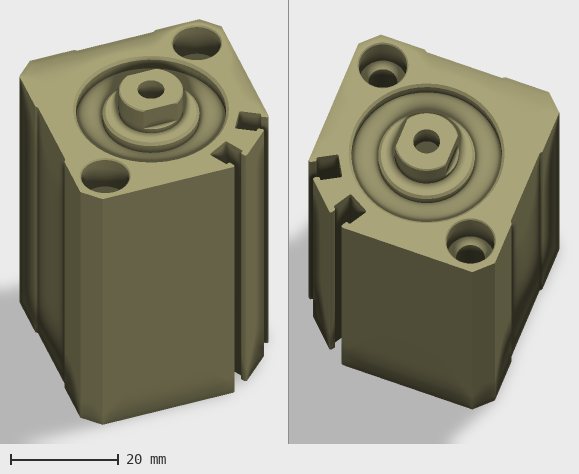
import cadquery as cq
import math

total_height = 62.5
width = 40.0
half_width = width / 2
rod_projection = 5.0
housing_height = total_height - rod_projection

corner_chamfer = 3.25
sensor_corner_chamfer = 9.6
side_recess_depth = 0.4
side_recess_floor_width = 15.0
side_recess_mouth_width = 16.0

slot_angles = (30.0, 60.0)
slot_floor_radius = 16.25
slot_lip_radius = 20.45
slot_width = 4.75
slot_mouth_width = 3.25
slot_mouth_end = 25.0
slot_round = 0.3
lip_end_round = 0.4
lip_end_min_radius = 21.25

recess_radius = 14.0
recess_chamfer = 0.5
recess_depth = 2.7
boss_radius = 9.0
boss_chamfer = 0.5
boss_drop = 0.5
recess_floor = housing_height - recess_depth
boss_top = housing_height - boss_drop

hole_offset = 14.1
hole_radius = 2.7
counterbore_radius = 4.5
counterbore_depth = 7.0
counterbore_chamfer = 0.25

rod_radius = 6.0
rod_chamfer = 0.25
flat_spacing = 10.0
flat_length = 4.5
rod_hole_radius = 2.5
rod_hole_depth = rod_projection


def make_side_recess(angle):
    """Shallow full-height channel in the -Y side, turned about Z by the angle."""
    return (
        cq.Workplane("XY")
        .polyline([
            (-side_recess_mouth_width / 2, -half_width),
            (-side_recess_floor_width / 2, -half_width + side_recess_depth),
            (side_recess_floor_width / 2, -half_width + side_recess_depth),
            (side_recess_mouth_width / 2, -half_width),
        ])
        .close()
        .extrude(housing_height)
        .rotate((0, 0, 0), (0, 0, 1), angle)
    )


def make_sensor_slot(angle):
    """Full-height T-shaped slot whose axis points away from Z at the angle."""
    slot = (
        cq.Workplane("XY")
        .polyline([
            (slot_floor_radius, -slot_width / 2),
            (slot_lip_radius, -slot_width / 2),
            (slot_lip_radius, -slot_mouth_width / 2),
            (slot_mouth_end, -slot_mouth_width / 2),
            (slot_mouth_end, slot_mouth_width / 2),
            (slot_lip_radius, slot_mouth_width / 2),
            (slot_lip_radius, slot_width / 2),
            (slot_floor_radius, slot_width / 2),
        ])
        .close()
        .extrude(housing_height)
        .edges("|Z and (not >X)")
        .fillet(slot_round)
    )
    return slot.rotate((0, 0, 0), (0, 0, 1), angle)


def make_face_recess():
    """Annular recess with a chamfered rim, leaving the chamfered boss inside it."""
    pocket = (
        cq.Workplane("XY", origin=(0, 0, recess_floor))
        .circle(recess_radius)
        .extrude(recess_depth)
    )
    rim = (
        cq.Workplane("XY", origin=(0, 0, housing_height))
        .circle(recess_radius + recess_chamfer)
        .extrude(-recess_chamfer, taper=45)
    )
    boss = (
        cq.Workplane("XY", origin=(0, 0, recess_floor))
        .circle(boss_radius)
        .extrude(boss_top - recess_floor)
        .faces(">Z")
        .chamfer(boss_chamfer)
    )
    return pocket.union(rim).cut(boss)


def make_mounting_hole(x, y):
    """Through hole with a counterbore chamfered at its mouth."""
    hole = cq.Workplane("XY").circle(hole_radius).extrude(housing_height)
    counterbore = (
        cq.Workplane("XY", origin=(0, 0, housing_height))
        .circle(counterbore_radius)
        .extrude(-counterbore_depth)
    )
    mouth = (
        cq.Workplane("XY", origin=(0, 0, housing_height))
        .circle(counterbore_radius + counterbore_chamfer)
        .extrude(-counterbore_chamfer, taper=45)
    )
    return hole.union(counterbore).union(mouth).translate((x, y, 0))


def is_lip_end(edge):
    """True for an edge in the sensor corner where a slot mouth meets the outer faces."""
    center = edge.Center()
    in_sensor_corner = center.x > 0 and center.y > 0
    return in_sensor_corner and math.hypot(center.x, center.y) > lip_end_min_radius


def make_outer_block():
    """Block with a large chamfer at the sensor corner and equal ones at the other three."""
    block = cq.Workplane("XY").rect(width, width).extrude(housing_height)
    block = block.edges("|Z and (<X or <Y)").chamfer(corner_chamfer)
    sensor_corner = cq.NearestToPointSelector((half_width, half_width, housing_height / 2))
    return block.edges("|Z").edges(sensor_corner).chamfer(sensor_corner_chamfer)


def make_housing():
    body = make_outer_block()
    for angle in (0, -90):
        body = body.cut(make_side_recess(angle))
    for angle in slot_angles:
        body = body.cut(make_sensor_slot(angle))
    body = body.edges("|Z").filter(is_lip_end).fillet(lip_end_round)
    body = body.cut(make_face_recess())
    for side in (-1, 1):
        body = body.cut(make_mounting_hole(side * hole_offset, -side * hole_offset))
    rod_seat = (
        cq.Workplane("XY", origin=(0, 0, recess_floor))
        .circle(rod_radius)
        .extrude(recess_depth)
    )
    return body.cut(rod_seat)


def make_piston_rod():
    """Rod standing in the boss, with two wrench flats and a blind hole in its end."""
    rod = (
        cq.Workplane("XY", origin=(0, 0, recess_floor))
        .circle(rod_radius)
        .extrude(total_height - recess_floor)
        .faces(">Z")
        .chamfer(rod_chamfer)
    )
    envelope = (
        cq.Workplane("XY", origin=(0, 0, total_height))
        .circle(rod_radius)
        .extrude(-flat_length)
    )
    across_flats = (
        cq.Workplane("XY", origin=(0, 0, total_height))
        .rect(flat_spacing, 2 * rod_radius)
        .extrude(-flat_length)
    )
    end_hole = (
        cq.Workplane("XY", origin=(0, 0, total_height))
        .circle(rod_hole_radius)
        .extrude(-rod_hole_depth)
    )
    return rod.cut(envelope.cut(across_flats)).cut(end_hole)


housing = make_housing()
piston_rod = make_piston_rod()
result = cq.Compound.makeCompound([housing.val(), piston_rod.val()])